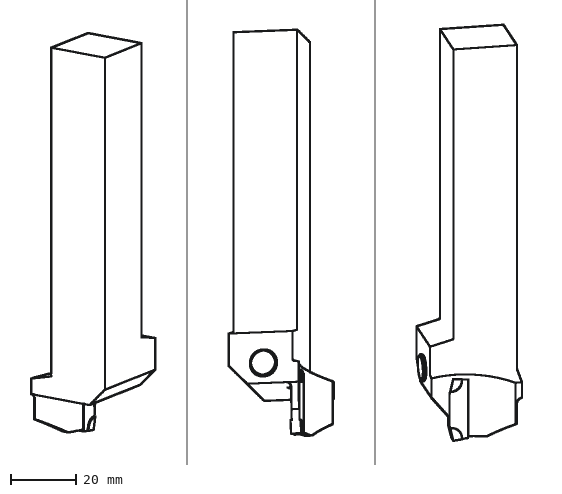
import cadquery as cq
import math

WIDTH = 27.4
SHANK = 20.0
HEIGHT = 126.4
HEAD_DEPTH = 27.3
HEAD_BOTTOM = 14.7
SHANK_LEFT = WIDTH - SHANK
LOBE_OUTER_TOP = 19.6
LOBE_INNER_TOP = 21.5
BACK_OUTER_TOP = 30.6
BACK_INNER_TOP = 32.5
SHOULDER_FILLET = 0.5
BEVEL_WIDTH = 5.7
BEVEL_HEIGHT = 5.8

ARC_Y = 19.6
INNER_RADIUS = 26.8
INNER_APEX = 6.6
OUTER_RADIUS = 22.6
OUTER_APEX = 9.0
FLARE_RADIUS = 1.6
BLADE_BOTTOM = 1.1
BLADE_FRONT_BOTTOM = 7.3
BLADE_SLOPE_END = 10.1
JAW_BOTTOM = 7.3

INSERT_LENGTH = 20.0
INSERT_SEAT = 15.5
INSERT_BACK = 21.4
TIP_Y = 20.2
END_RELIEF = 0.5
RAKE_LENGTH = 4.8
WEB_LEFT = 6.5
WEB_RIGHT = 9.0
TIP_LEFT = 6.2
TIP_RIGHT = 9.3
TIP_LENGTH = 4.0
TIP_FLOOR = 17.5

SCREW_DIAMETER = 8.5
SCREW_X = 16.4
SCREW_Z = 20.8
SCREW_HEIGHT = 1.1
SCREW_CHAMFER = 0.5


def extrude_along_x(outline, left, right):
    """Extrude an outline on the YZ plane between two X positions."""
    return outline.extrude(right - left).translate((left, 0, 0))


def make_shank():
    """Square shank with a sloped shoulder at the back and a bevelled lower corner."""
    side = cq.Workplane("YZ").polyline([
        (0, HEAD_BOTTOM), (HEAD_DEPTH, HEAD_BOTTOM), (HEAD_DEPTH, BACK_OUTER_TOP),
        (SHANK, BACK_INNER_TOP), (SHANK, HEIGHT), (0, HEIGHT),
    ]).close()
    shank = extrude_along_x(side, SHANK_LEFT, WIDTH)
    bevel = (
        cq.Workplane("XZ")
        .polyline([
            (WIDTH - BEVEL_WIDTH, HEAD_BOTTOM), (WIDTH, HEAD_BOTTOM),
            (WIDTH, HEAD_BOTTOM + BEVEL_HEIGHT),
        ])
        .close()
        .extrude(-HEAD_DEPTH)
    )
    return shank.cut(bevel)


def make_lobe():
    """Sloped lobe that widens the head toward -X."""
    return (
        cq.Workplane("XZ")
        .polyline([
            (0, HEAD_BOTTOM), (SHANK_LEFT, HEAD_BOTTOM),
            (SHANK_LEFT, LOBE_INNER_TOP), (0, LOBE_OUTER_TOP),
        ])
        .close()
        .extrude(-HEAD_DEPTH)
    )


def round_shoulders(body):
    """Fillet the inner corners where the lobe and the back shoulder meet the shank."""
    back_corner = cq.selectors.NearestToPointSelector((SHANK_LEFT + SHANK / 2, SHANK, BACK_INNER_TOP))
    lobe_corner = cq.selectors.NearestToPointSelector((SHANK_LEFT, HEAD_DEPTH / 2, LOBE_INNER_TOP))
    return body.edges(back_corner).fillet(SHOULDER_FILLET).edges(lobe_corner).fillet(SHOULDER_FILLET)


def make_blade():
    """Blade with a round outer face that flares into the head, trimmed to its side outline."""
    flare_r = OUTER_RADIUS + FLARE_RADIUS
    flare_z = HEAD_BOTTOM - FLARE_RADIUS
    bend = FLARE_RADIUS * (1 - math.sqrt(0.5))
    body = (
        cq.Workplane("XZ")
        .lineTo(OUTER_RADIUS, 0)
        .lineTo(OUTER_RADIUS, flare_z)
        .threePointArc((OUTER_RADIUS + bend, HEAD_BOTTOM - bend), (flare_r, HEAD_BOTTOM))
        .lineTo(0, HEAD_BOTTOM)
        .close()
        .revolve(360, (0, 0), (0, 1))
        .translate((OUTER_APEX - OUTER_RADIUS, ARC_Y, 0))
    )
    side = cq.Workplane("YZ").polyline([
        (0, HEAD_BOTTOM), (0, BLADE_FRONT_BOTTOM), (BLADE_SLOPE_END, BLADE_BOTTOM),
        (INSERT_SEAT, BLADE_BOTTOM), (INSERT_BACK, JAW_BOTTOM), (HEAD_DEPTH, HEAD_BOTTOM),
    ]).close()
    return body.intersect(extrude_along_x(side, 0, WIDTH))


def make_inner_clearance():
    """Cylinder that hollows the -X side of the blade and lobe."""
    return (
        cq.Workplane("XY")
        .center(INNER_APEX - INNER_RADIUS, ARC_Y)
        .circle(INNER_RADIUS)
        .extrude(LOBE_INNER_TOP + SHOULDER_FILLET)
    )


def make_screw_head():
    """Round screw head, chamfered at both ends, on the back face."""
    return (
        cq.Workplane("XZ", origin=(SCREW_X, HEAD_DEPTH, SCREW_Z))
        .circle(SCREW_DIAMETER / 2)
        .extrude(-SCREW_HEIGHT)
        .faces("|Y")
        .chamfer(SCREW_CHAMFER)
    )


def make_insert_tip():
    """Wider cutting end at the bottom of the insert, rounded toward the seat."""
    reach = TIP_Y - TIP_FLOOR
    rake_y = TIP_Y + (INSERT_BACK - TIP_Y) * TIP_LENGTH / RAKE_LENGTH
    relief_z = END_RELIEF * reach / (TIP_Y - INSERT_SEAT)
    bend = math.sqrt(0.5)
    outline = (
        cq.Workplane("YZ")
        .moveTo(TIP_Y, 0)
        .lineTo(rake_y, TIP_LENGTH)
        .lineTo(TIP_Y, TIP_LENGTH)
        .threePointArc(
            (TIP_Y - reach * bend, relief_z + (TIP_LENGTH - relief_z) * bend),
            (TIP_FLOOR, relief_z),
        )
        .close()
    )
    return extrude_along_x(outline, TIP_LEFT, TIP_RIGHT)


def make_insert():
    """Double-ended grooving insert, symmetric about its middle."""
    side = cq.Workplane("YZ").polyline([
        (INSERT_SEAT, END_RELIEF), (TIP_Y, 0),
        (INSERT_BACK, RAKE_LENGTH), (INSERT_BACK, INSERT_LENGTH - RAKE_LENGTH),
        (TIP_Y, INSERT_LENGTH), (INSERT_SEAT, INSERT_LENGTH - END_RELIEF),
    ]).close()
    web = extrude_along_x(side, WEB_LEFT, WEB_RIGHT)
    tip = make_insert_tip()
    opposite_tip = tip.mirror("XY", (0, 0, INSERT_LENGTH / 2))
    return web.union(tip).union(opposite_tip)


def make_insert_slot():
    """Slot fitting the insert, open through the blade toward -X."""
    side = cq.Workplane("YZ").polyline([
        (INSERT_SEAT, 0), (TIP_Y, 0),
        (INSERT_BACK, RAKE_LENGTH), (INSERT_BACK, INSERT_LENGTH - RAKE_LENGTH),
        (TIP_Y, INSERT_LENGTH), (INSERT_SEAT, INSERT_LENGTH - END_RELIEF),
    ]).close()
    return extrude_along_x(side, 0, TIP_RIGHT)


def make_holder():
    """Tool holder with its screw head, hollowed and slotted for the insert."""
    holder = make_shank().union(make_lobe())
    holder = round_shoulders(holder).union(make_blade())
    holder = holder.cut(make_inner_clearance())
    return holder.union(make_screw_head()).cut(make_insert_slot())


holder = make_holder()
insert = make_insert()

result = cq.Compound.makeCompound([holder.val(), insert.val()])